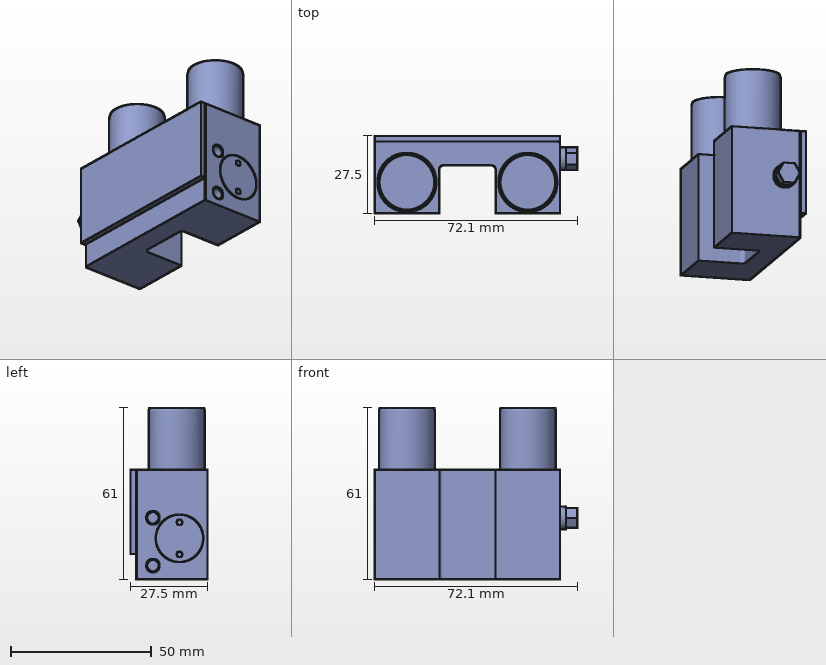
import cadquery as cq
import math

housing_width = 66.0
housing_depth = 25.5
housing_height = 39.0
back_edge_chamfer = 0.45

slot_width = 20.0
slot_depth = 17.0
slot_corner_radius = 1.5
slot_left = (housing_width - slot_width) / 2

piston_diameter = 20.0
piston_projection = 22.0
piston_spacing = 43.0
piston_y = 11.0
piston_chamfer_height = 1.0
piston_chamfer_angle = 15.0
recess_diameter = 21.0
recess_depth = 0.1

plug_y = 10.0
plug_z = 14.6
groove_outer_diameter = 17.0
groove_inner_diameter = 16.8
groove_depth = 0.1
spanner_hole_diameter = 2.0
spanner_hole_spacing = 11.4
spanner_hole_depth = 2.0
drill_point_angle = 118.0

port_y = 19.45
lower_port_z = 4.9
port_spacing = 17.0
upper_port_z = lower_port_z + port_spacing
port_diameter = 4.13
port_mouth_diameter = 4.8
port_depth = 6.0

plate_thickness = 2.0
plate_height = 30.0

collar_diameter = 8.2
collar_length = 2.0
hexagon_across_corners = 8.2
hexagon_length = 4.1


def disc_from_left(diameter, y, z, depth):
    """Cylinder that enters the left face of the housing to the given depth."""
    return cq.Workplane("YZ", origin=(0, y, z)).circle(diameter / 2).extrude(depth)


def block_with_slot():
    """Block with chamfered vertical back edges and a round-cornered slot in front."""
    block = cq.Workplane("XY").box(housing_width, housing_depth, housing_height, centered=False)
    block = block.edges("|Z and >Y").chamfer(back_edge_chamfer)
    slot = (
        cq.Workplane("XY", origin=(slot_left, 0, 0))
        .box(slot_width, slot_depth, housing_height, centered=False)
        .edges("|Z and >Y")
        .fillet(slot_corner_radius)
    )
    return block.cut(slot)


def port(z):
    """Blind port hole with a 45 degree countersunk mouth."""
    countersink_depth = (port_mouth_diameter - port_diameter) / 2
    profile = [
        (0, 0),
        (0, port_mouth_diameter / 2),
        (countersink_depth, port_diameter / 2),
        (port_depth, port_diameter / 2),
        (port_depth, 0),
    ]
    return cq.Workplane("XY", origin=(0, port_y, z)).polyline(profile).close().revolve(360, (0, 0), (1, 0))


def spanner_hole(z):
    """Drilled hole in the plug face, ending in a conical drill point."""
    radius = spanner_hole_diameter / 2
    point_length = radius / math.tan(math.radians(drill_point_angle / 2))
    profile = [
        (0, 0),
        (0, radius),
        (spanner_hole_depth, radius),
        (spanner_hole_depth + point_length, 0),
    ]
    return cq.Workplane("XY", origin=(0, plug_y, z)).polyline(profile).close().revolve(360, (0, 0), (1, 0))


def plug_groove():
    """Narrow ring groove around the plug face."""
    outer = disc_from_left(groove_outer_diameter, plug_y, plug_z, groove_depth)
    inner = disc_from_left(groove_inner_diameter, plug_y, plug_z, groove_depth)
    return outer.cut(inner)


def piston_recess(x):
    """Shallow round recess in the top face that seats a piston."""
    floor = (x, piston_y, housing_height - recess_depth)
    return cq.Workplane("XY", origin=floor).circle(recess_diameter / 2).extrude(recess_depth)


def make_housing(piston_positions):
    housing = block_with_slot().cut(plug_groove())
    for x in piston_positions:
        housing = housing.cut(piston_recess(x))
    for z in (lower_port_z, upper_port_z):
        housing = housing.cut(port(z))
    for side in (-1, 1):
        housing = housing.cut(spanner_hole(plug_z + side * spanner_hole_spacing / 2))
    return housing


def make_piston(x):
    """Round piston with a steep chamfer at its top, standing on the recess floor."""
    chamfer_width = piston_chamfer_height * math.tan(math.radians(piston_chamfer_angle))
    length = recess_depth + piston_projection
    radius = piston_diameter / 2
    profile = [
        (0, 0),
        (radius, 0),
        (radius, length - piston_chamfer_height),
        (radius - chamfer_width, length),
        (0, length),
    ]
    foot = (x, piston_y, housing_height - recess_depth)
    return cq.Workplane("XZ", origin=foot).polyline(profile).close().revolve(360, (0, 0), (0, 1))


def make_cover_plate():
    corner = (0, housing_depth, housing_height - plate_height)
    return cq.Workplane("XY", origin=corner).box(housing_width, plate_thickness, plate_height, centered=False)


def make_fitting():
    """Round collar against the right face with a hexagon on it, two flats level."""
    return (
        cq.Workplane("YZ", origin=(housing_width, port_y, upper_port_z))
        .circle(collar_diameter / 2)
        .extrude(collar_length)
        .faces(">X")
        .workplane()
        .polygon(6, hexagon_across_corners)
        .extrude(hexagon_length)
    )


piston_positions = [housing_width / 2 + side * piston_spacing / 2 for side in (-1, 1)]

housing = make_housing(piston_positions)
pistons = [make_piston(x) for x in piston_positions]
cover_plate = make_cover_plate()
fitting = make_fitting()

result = cq.Compound.makeCompound(
    [housing.val(), *[piston.val() for piston in pistons], cover_plate.val(), fitting.val()]
)